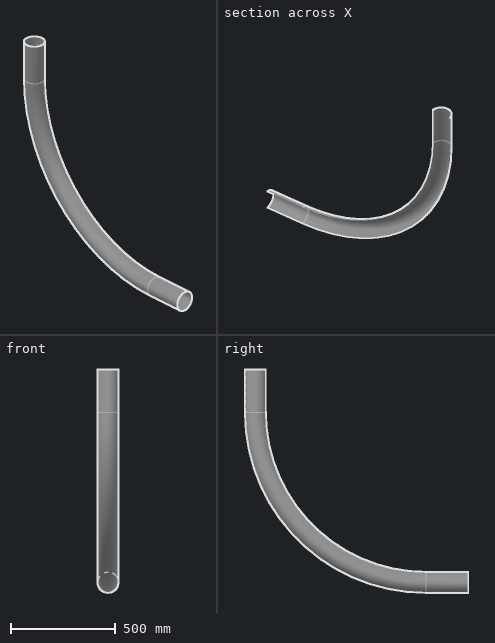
import cadquery as cq

outer_diameter = 101.6
inner_diameter = 98.4
bend_radius = 8 * outer_diameter
leg_length = 2 * outer_diameter
bend_angle = 90


def tube_section(workplane):
    """Draw the ring-shaped cross-section of the tube at the workplane origin."""
    return workplane.circle(outer_diameter / 2).circle(inner_diameter / 2)


vertical_leg = tube_section(cq.Workplane("XY")).extrude(leg_length)

bend = tube_section(cq.Workplane("XY")).revolve(
    bend_angle,
    (0, bend_radius, 0),
    (1, bend_radius, 0),
)

lower_leg_plane = cq.Plane(
    origin=(0, bend_radius, -bend_radius),
    xDir=(1, 0, 0),
    normal=(0, 1, 0),
)
lower_leg = tube_section(cq.Workplane(lower_leg_plane)).extrude(leg_length)

result = vertical_leg.union(bend).union(lower_leg)